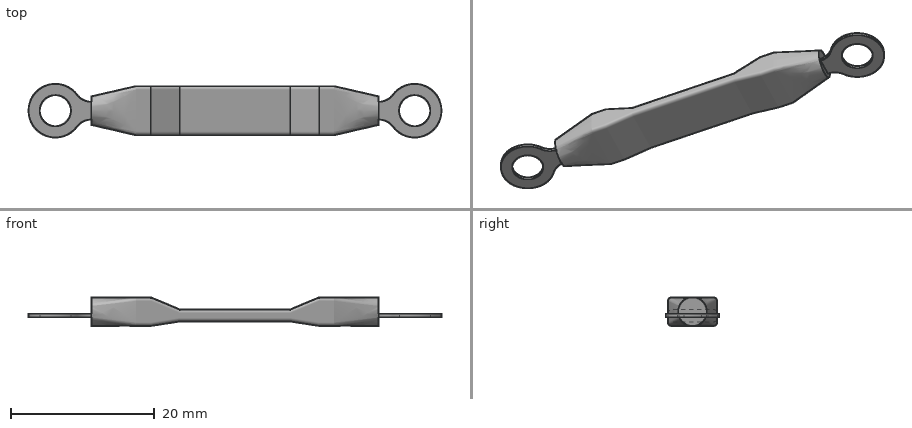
import cadquery as cq
import math

hole_spacing = 50.0
ring_diameter = 7.5
hole_diameter = 4.3
plate_thickness = 0.5
neck_width = 2.5
neck_fillet = 2.5

strap_length = 15.4
strap_thickness = 1.7
body_width = 6.85
edge_radius = 0.5

flare_length = 4.0
block_length = 2.1
sleeve_height = 4.0
sleeve_end_x = 20.0
sleeve_offset = 0.53

strap_end_x = strap_length / 2
block_start_x = strap_end_x + flare_length
block_end_x = block_start_x + block_length
neck_overlap = 1.0


def section_plane(x, z=0):
    """Plane across the part, with local x along Y and local y along Z."""
    return cq.Workplane("YZ", origin=(x, 0, z))


def rounded_section(height):
    """Rectangle of the body width with rounded corners."""
    return cq.Sketch().rect(body_width, height).vertices().fillet(edge_radius)


def make_strap():
    section = rounded_section(strap_thickness)
    return section_plane(-strap_end_x).placeSketch(section).extrude(strap_length)


def make_flare():
    """Transition from the thin strap up to the full sleeve height."""
    inner = rounded_section(strap_thickness)
    outer_shift = cq.Location(cq.Vector(0, sleeve_offset, flare_length))
    outer = rounded_section(sleeve_height).moved(outer_shift)
    return section_plane(strap_end_x).placeSketch(inner, outer).loft()


def make_block():
    section = rounded_section(sleeve_height)
    return section_plane(block_start_x, sleeve_offset).placeSketch(section).extrude(block_length)


def make_taper():
    """Transition from the rectangular block to the round sleeve end."""
    taper_length = sleeve_end_x - block_end_x
    inner = rounded_section(sleeve_height)
    outer_shift = cq.Location(cq.Vector(0, 0, taper_length))
    outer = cq.Sketch().circle(sleeve_height / 2).moved(outer_shift)
    return section_plane(block_end_x, sleeve_offset).placeSketch(inner, outer).loft()


def make_terminal():
    """Flat ring whose outline runs through tangent fillets into the neck, buried in the sleeve end."""
    hole_x = hole_spacing / 2
    ring_radius = ring_diameter / 2
    half_neck = neck_width / 2
    neck_start_x = sleeve_end_x - neck_overlap

    fillet_y = half_neck + neck_fillet
    centre_distance = ring_radius + neck_fillet
    fillet_angle = math.asin(fillet_y / centre_distance)
    fillet_x = hole_x - centre_distance * math.cos(fillet_angle)
    ring_tangent_x = hole_x - ring_radius * math.cos(fillet_angle)
    ring_tangent_y = ring_radius * math.sin(fillet_angle)
    mid_angle = (fillet_angle + math.pi / 2) / 2
    fillet_mid_x = fillet_x + neck_fillet * math.cos(mid_angle)
    fillet_mid_y = fillet_y - neck_fillet * math.sin(mid_angle)

    return (
        cq.Workplane("XY", origin=(0, 0, -plate_thickness / 2))
        .moveTo(neck_start_x, -half_neck)
        .lineTo(fillet_x, -half_neck)
        .threePointArc((fillet_mid_x, -fillet_mid_y), (ring_tangent_x, -ring_tangent_y))
        .threePointArc((hole_x + ring_radius, 0), (ring_tangent_x, ring_tangent_y))
        .threePointArc((fillet_mid_x, fillet_mid_y), (fillet_x, half_neck))
        .lineTo(neck_start_x, half_neck)
        .close()
        .moveTo(hole_x, 0)
        .circle(hole_diameter / 2)
        .extrude(plate_thickness)
    )


result = make_strap()
for end_feature in (make_flare(), make_block(), make_taper(), make_terminal()):
    result = result.union(end_feature, clean=False)
    result = result.union(end_feature.mirror("YZ"), clean=False)